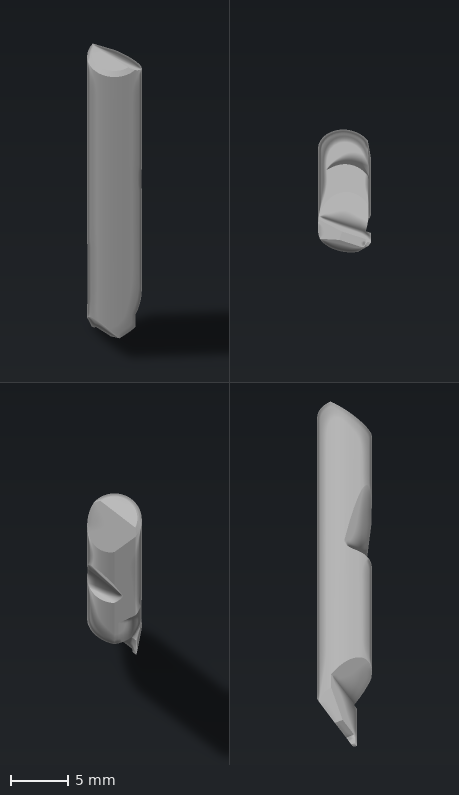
import cadquery as cq
import math

length = 38.1
shank_radius = 2.38
end_chamfer = 0.4
reach = 4 * shank_radius

flat_start_y = 0.05
flat_end_y = 1.85

top_bevel_y = -0.475

notch_bottom_z = 19.65
notch_top_z = 28.4
notch_depth = 1.43
notch_radius = 0.95

clearance_bottom_z = 4.57
clearance_top_z = 12.73
clearance_depth = 0.45
clearance_radius = 4.35

rake_y = -0.05
rake_bevel_z = 4.72
front_relief_angle = 25.0
front_relief_z = 4.35
side_relief_angle = 22.0
tip_width = 0.42
tip_height = 0.8
heel_z = 1.0
heel_left_x = -1.83
heel_right_x = 0.25
tip_peak_x = -2.1
tip_corner_z = 0.08
tip_relief_width = 1.1
tip_relief_rise = 0.3


def circle_x(y):
    """X of the shank circle on its -X side at a given Y."""
    return -math.sqrt(shank_radius**2 - y**2)


def prism_along_x(points):
    """Body with a Y-Z outline that spans the shank in X."""
    return cq.Workplane("YZ").polyline(points).close().extrude(reach, both=True)


def clamping_flat():
    start_x = circle_x(flat_start_y)
    end_x = circle_x(flat_end_y)
    run_x = end_x - start_x
    run_y = flat_end_y - flat_start_y
    points = [
        (start_x - run_x, flat_start_y - run_y),
        (end_x + run_x, flat_end_y + run_y),
        (-reach, flat_end_y + run_y),
        (-reach, flat_start_y - run_y),
    ]
    return cq.Workplane("XY").polyline(points).close().extrude(length)


def top_bevel():
    return prism_along_x([
        (top_bevel_y, length),
        (top_bevel_y + reach, length - reach),
        (top_bevel_y + reach, length),
    ])


def coolant_notch():
    slope = notch_depth / (notch_top_z - notch_bottom_z)
    floor_y = shank_radius - notch_depth
    notch = prism_along_x([
        (floor_y, notch_bottom_z),
        (reach, notch_bottom_z),
        (reach, notch_bottom_z + (reach - floor_y) / slope),
    ])
    return notch.edges("|X").edges("<Y").fillet(notch_radius)


def chip_clearance():
    height = clearance_top_z - clearance_bottom_z
    base = cq.Workplane("XY").workplane(offset=clearance_bottom_z)
    core_x = clearance_radius - shank_radius + clearance_depth
    core = base.center(core_x, 0).circle(clearance_radius).extrude(height)
    block = base.center(-reach / 2, 0).rect(reach, reach).extrude(height)
    return block.cut(core)


def rake_face():
    """Everything behind the rake plane, ending above in a 45 degree bevel."""
    return prism_along_x([
        (rake_y, -reach),
        (rake_y, rake_bevel_z),
        (rake_y + reach, rake_bevel_z + reach),
        (rake_y + reach, -reach),
    ])


def front_relief():
    drop = reach / math.tan(math.radians(front_relief_angle))
    return prism_along_x([
        (-shank_radius, front_relief_z),
        (-shank_radius + reach, front_relief_z - drop),
        (-shank_radius, front_relief_z - drop),
    ])


def side_relief():
    run_x = reach * math.tan(math.radians(side_relief_angle))
    points = [
        (-shank_radius, rake_y),
        (-shank_radius + run_x, rake_y - reach),
        (-reach, rake_y - reach),
        (-reach, rake_y),
    ]
    return cq.Workplane("XY").polyline(points).close().extrude(clearance_bottom_z)


def tip_outline():
    """Space below the narrow tip, the heel and the 45 degree back corner."""
    tip_right_x = -shank_radius + tip_width
    points = [
        (-shank_radius, tip_corner_z),
        (tip_peak_x, 0),
        (tip_right_x, tip_corner_z),
        (tip_right_x, tip_height),
        (heel_left_x, heel_z),
        (heel_right_x, heel_z),
        (heel_right_x + reach, heel_z + reach),
        (heel_right_x + reach, -reach),
        (-shank_radius, -reach),
    ]
    return cq.Workplane("XZ").polyline(points).close().extrude(reach, both=True)


def tip_end_relief():
    slope = tip_relief_rise / tip_relief_width
    return prism_along_x([
        (rake_y, 0),
        (rake_y - reach, reach * slope),
        (rake_y - reach, -reach),
        (rake_y, -reach),
    ])


shank = cq.Workplane("XY").circle(shank_radius).extrude(length)
shank = shank.faces(">Z").chamfer(end_chamfer)

result = (
    shank.cut(clamping_flat())
    .cut(top_bevel())
    .cut(coolant_notch())
    .cut(chip_clearance())
    .cut(rake_face())
    .cut(front_relief())
    .cut(side_relief())
    .cut(tip_outline())
    .cut(tip_end_relief())
)